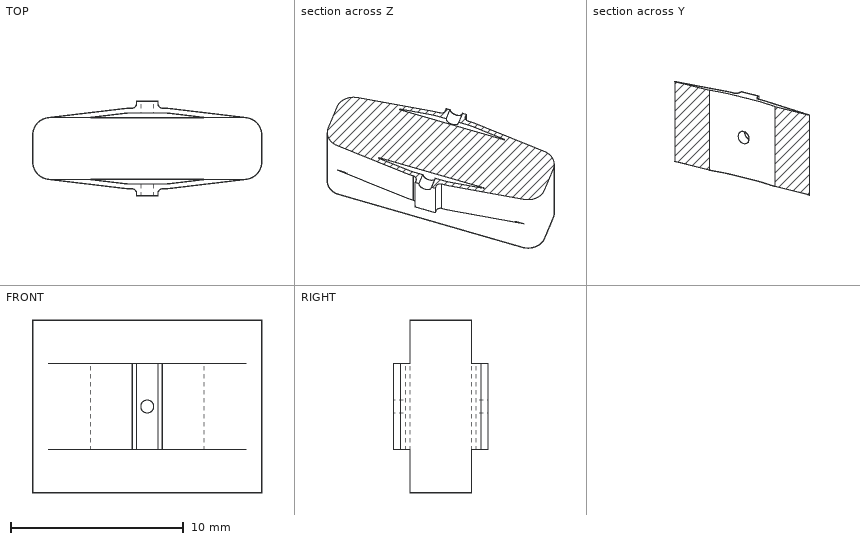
import cadquery as cq
import math

body_length = 13.29
body_depth = 3.59
body_height = 10.0
end_face_width = 1.54
corner_length = 0.92

strip_height = 5.0
strip_thickness = 0.29
overall_depth = 5.5
plateau_y = 2.345
bend_radius = 4.4
bend_knee_x = 1.12

rib_width = 1.25
rib_fillet = 0.25
hole_diameter = 0.75

half_length = body_length / 2
half_depth = body_depth / 2
rib_top_y = overall_depth / 2
flat_end_x = half_length - corner_length
slope_angle = math.atan2(plateau_y - half_depth, flat_end_x - bend_knee_x)


def make_half_body():
    """The +X half of the body; its broad faces end at shallow edges."""
    end_y = end_face_width / 2
    return (
        cq.Workplane("XY")
        .workplane(offset=-body_height / 2)
        .moveTo(half_length, -end_y)
        .lineTo(half_length, end_y)
        .tangentArcPoint((flat_end_x, half_depth), relative=False)
        .lineTo(0, half_depth)
        .lineTo(0, -half_depth)
        .lineTo(flat_end_x, -half_depth)
        .threePointArc(corner_midpoint(), (half_length, -end_y))
        .close()
        .extrude(body_height)
    )


def corner_midpoint():
    """Middle of the corner arc at +X, -Y, which is tangent to the end face."""
    corner_depth = half_depth - end_face_width / 2
    radius = (corner_length**2 + corner_depth**2) / (2 * corner_length)
    half_sweep = math.atan2(corner_length, corner_depth)
    return (
        half_length - radius * (1 - math.cos(half_sweep)),
        -end_face_width / 2 - radius * math.sin(half_sweep),
    )


def make_half_strip():
    """The +X half of the strip on the +Y face, with its half of the rib."""
    bend_x = bend_knee_x - bend_radius * math.tan(slope_angle / 2)
    bend_center_y = plateau_y - bend_radius
    inner_radius = bend_radius - strip_thickness

    def bend_point(radius, angle):
        return (bend_x + radius * math.sin(angle), bend_center_y + radius * math.cos(angle))

    inner_bend_end = bend_point(inner_radius, slope_angle)
    inner_foot_x = inner_bend_end[0] + (inner_bend_end[1] - half_depth) / math.tan(slope_angle)
    rib_x = rib_width / 2
    fillet_offset = rib_fillet * (1 - math.sqrt(0.5))
    return (
        cq.Workplane("XY")
        .workplane(offset=-strip_height / 2)
        .moveTo(0, rib_top_y)
        .lineTo(rib_x, rib_top_y)
        .lineTo(rib_x, plateau_y + rib_fillet)
        .threePointArc(
            (rib_x + fillet_offset, plateau_y + fillet_offset),
            (rib_x + rib_fillet, plateau_y),
        )
        .lineTo(bend_x, plateau_y)
        .threePointArc(bend_point(bend_radius, slope_angle / 2), bend_point(bend_radius, slope_angle))
        .lineTo(flat_end_x, half_depth)
        .lineTo(inner_foot_x, half_depth)
        .lineTo(*inner_bend_end)
        .threePointArc(bend_point(inner_radius, slope_angle / 2), bend_point(inner_radius, 0))
        .lineTo(0, plateau_y - strip_thickness)
        .close()
        .extrude(strip_height)
    )


def make_strip():
    half = make_half_strip()
    strip = half.union(half.mirror("YZ")).clean()
    hole = (
        cq.Workplane("XZ")
        .workplane(offset=-rib_top_y)
        .circle(hole_diameter / 2)
        .extrude(rib_top_y - half_depth)
    )
    return strip.cut(hole)


half_body = make_half_body()
strip = make_strip()
result = half_body.union(half_body.mirror("YZ")).clean()
result = result.union(strip).union(strip.mirror("XZ"))